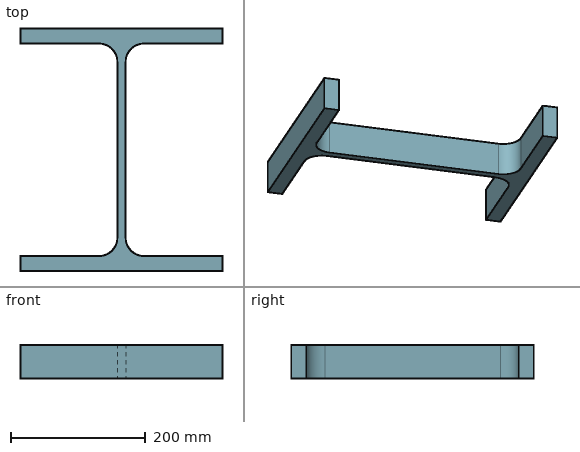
import cadquery as cq

depth = 360.0
width = 300.0
length = 50.0
web_thickness = 12.5
clear_depth = 315.0
root_radius = 27.0

flange_thickness = (depth - clear_depth) / 2
flange_offset = (clear_depth + flange_thickness) / 2


def flange(side):
    """Flange plate at the +Y (side=1) or -Y (side=-1) end of the web."""
    return (
        cq.Workplane("XY")
        .center(0, side * flange_offset)
        .rect(width, flange_thickness)
        .extrude(length)
    )


web = cq.Workplane("XY").rect(web_thickness, clear_depth).extrude(length)
beam = web.union(flange(1)).union(flange(-1))

root_corners = cq.selectors.BoxSelector(
    (-web_thickness, -depth / 2, 0),
    (web_thickness, depth / 2, length),
)
result = beam.edges("|Z").edges(root_corners).fillet(root_radius)